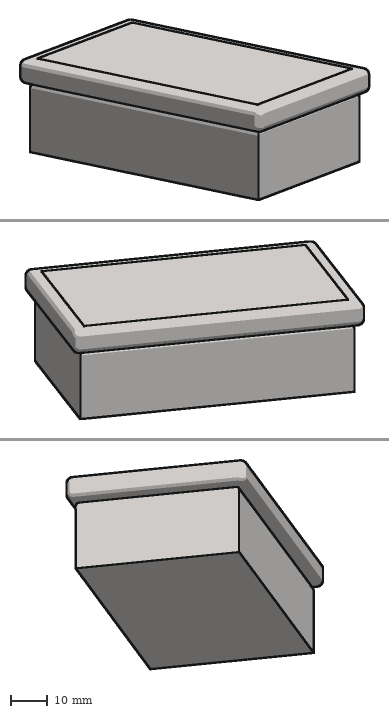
import cadquery as cq

lid_length = 84.0
lid_width = 52.0
lid_thickness = 7.0
lid_edge_radius = 2.0
total_height = 27.0

lid_overhang = 2.5
base_length = lid_length - 2 * lid_overhang
base_width = lid_width - 2 * lid_overhang
base_height = total_height - lid_thickness
base_edge_radius = 1.5

panel_margin = 4.0
panel_length = lid_length - 2 * panel_margin
panel_width = lid_width - 2 * panel_margin
panel_thickness = 2.0


def make_base():
    """Plain block with its upper edges rounded below the lid."""
    block = cq.Workplane("XY").box(base_length, base_width, base_height, centered=(True, True, False))
    return block.edges(">Z").fillet(base_edge_radius)


def make_panel():
    """Flat rectangular inlay with its top level with the lid."""
    panel_floor = total_height - panel_thickness
    floor_plane = cq.Workplane("XY").workplane(offset=panel_floor)
    return floor_plane.rect(panel_length, panel_width).extrude(panel_thickness)


def make_lid(inlay):
    """Slab rounded along every edge, with a recess that fits the inlay."""
    seat_plane = cq.Workplane("XY").workplane(offset=base_height)
    slab = seat_plane.rect(lid_length, lid_width).extrude(lid_thickness)
    return slab.edges().fillet(lid_edge_radius).cut(inlay)


base = make_base()
panel = make_panel()
lid = make_lid(panel)

result = cq.Compound.makeCompound([base.val(), lid.val(), panel.val()])